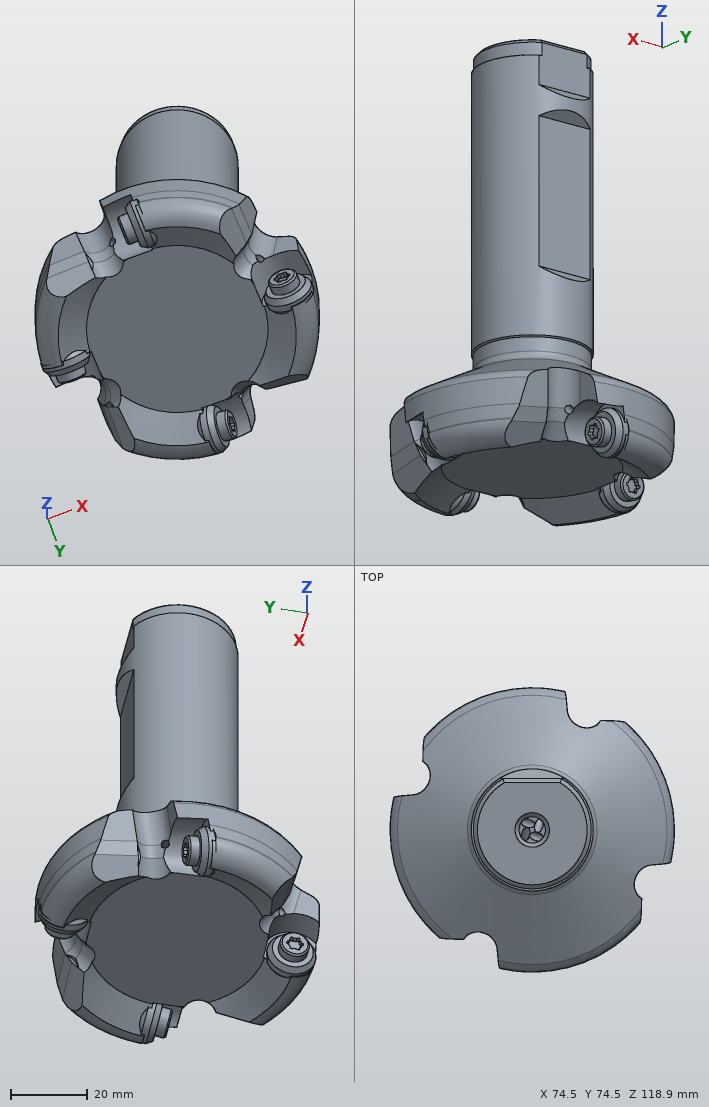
import cadquery as cq
import math


TOTAL_HEIGHT = 118.9
INSERT_COUNT = 4

SHANK_DIAMETER = 32.0
END_RADIUS = 15.5
END_LENGTH = 4.8
END_CHAMFER = 1.1
SHANK_BOTTOM_Z = 36.4
NECK_RADIUS = 15.6
NECK_BOTTOM_Z = 32.0

HEAD_DIAMETER = 74.5
CONE_TOP_RADIUS = 17.0
CONE_TOP_Z = 29.4
CONE_BOTTOM_RADIUS = 35.3
CONE_BOTTOM_Z = 19.8
RIM_TOP_Z = 17.2
TAPER_TOP_Z = 9.9
TAPER_BOTTOM_Z = 6.1
TAPER_DROP = 0.2
BOTTOM_CORNER_RADIUS = 5.8
CAVITY_RADIUS = 23.8
CAVITY_DEPTH = 4.9

FLAT_Y = 13.4
END_FLAT_Z = 105.9
CLAMP_FLAT_TOP_Z = 97.2
CLAMP_FLAT_BOTTOM_Z = 55.5

SUPPLY_RADIUS = 3.5
SUPPLY_BOTTOM_Z = 30.9
SUPPLY_SINK_RADIUS = 4.5
SUPPLY_SINK_DEPTH = 1.4
DUCT_RADIUS = 1.1
DUCT_START = (-1.4, 0.0, 31.7)
DUCT_OUTLET = (-9.5, -29.1, 9.9)

FLUTE_Z = 20.2
FLUTE_FLOOR_Y = -28.3
FLUTE_WALL_X = -9.0
FLUTE_ARC_RADIUS = 4.8
FLUTE_ARC_Y = -30.9
FLUTE_LEAN = 10.0
FLUTE_PITCHES = (12.0, 24.0, 38.0)
FLUTE_BENDS_Z = (12.5, 8.8)
FLUTE_REACH = 35.7

INSERT_CENTER = (1.3, -30.7, 6.7)
INSERT_TILT = 9.0
INSERT_THICKNESS = 5.2
INSERT_FACE_RADIUS = 5.5
INSERT_BAND_RADIUS = 6.5
INSERT_BAND_WIDTH = 1.9

SCREW_HEAD_RADIUS = 3.9
SCREW_HEAD_HEIGHT = 3.0
SCREW_HEAD_CHAMFER = 0.5
SOCKET_RADIUS = 1.8
SOCKET_LOBE_RADIUS = 0.42
SOCKET_LOBES = 6
SOCKET_DEPTH = 1.4
ACCESS_Y = -31.3
ACCESS_RADIUS = 8.1
ACCESS_LENGTH = 16.6

SHANK_RADIUS = SHANK_DIAMETER / 2
HEAD_RADIUS = HEAD_DIAMETER / 2
END_BOTTOM_Z = TOTAL_HEIGHT - END_LENGTH
QUARTER_ARC = math.sqrt(0.5)


def around_axis(shape):
    """Copies of a shape at every insert station around the tool axis."""
    step = 360.0 / INSERT_COUNT
    return [shape.rotate((0, 0, 0), (0, 0, 1), step * i) for i in range(INSERT_COUNT)]


def blank():
    """Turned shape of the shank and head, with the hollow underside."""
    neck_step = SHANK_RADIUS - NECK_RADIUS
    corner_outer = HEAD_RADIUS - TAPER_DROP
    corner_center = (corner_outer - BOTTOM_CORNER_RADIUS, BOTTOM_CORNER_RADIUS)
    corner_sag = (
        corner_center[0] + QUARTER_ARC * BOTTOM_CORNER_RADIUS,
        corner_center[1] - QUARTER_ARC * BOTTOM_CORNER_RADIUS,
    )
    return (
        cq.Workplane("XZ")
        .moveTo(0, TOTAL_HEIGHT)
        .lineTo(END_RADIUS, TOTAL_HEIGHT)
        .lineTo(END_RADIUS, END_BOTTOM_Z)
        .lineTo(SHANK_RADIUS, END_BOTTOM_Z)
        .lineTo(SHANK_RADIUS, SHANK_BOTTOM_Z)
        .lineTo(NECK_RADIUS, SHANK_BOTTOM_Z - neck_step)
        .lineTo(NECK_RADIUS, NECK_BOTTOM_Z)
        .tangentArcPoint((CONE_TOP_RADIUS, CONE_TOP_Z), relative=False)
        .lineTo(CONE_BOTTOM_RADIUS, CONE_BOTTOM_Z)
        .tangentArcPoint((HEAD_RADIUS, RIM_TOP_Z), relative=False)
        .lineTo(HEAD_RADIUS, TAPER_TOP_Z)
        .lineTo(corner_outer, TAPER_BOTTOM_Z)
        .lineTo(corner_outer, BOTTOM_CORNER_RADIUS)
        .threePointArc(corner_sag, (corner_center[0], 0))
        .lineTo(CAVITY_RADIUS, CAVITY_DEPTH)
        .lineTo(0, CAVITY_DEPTH)
        .close()
        .revolve(360, (0, 0), (0, 1))
    )


def shank_flats():
    """Material cut from the +Y side: an end flat and a clamping flat."""
    depth = 2 * (SHANK_RADIUS - FLAT_Y)
    outer_y = FLAT_Y + depth
    side = (
        cq.Workplane("YZ", origin=(-SHANK_RADIUS, 0, 0))
        .polyline([
            (FLAT_Y, END_FLAT_Z),
            (outer_y, END_FLAT_Z - depth),
            (outer_y, TOTAL_HEIGHT),
            (FLAT_Y, TOTAL_HEIGHT),
        ])
        .close()
        .polyline([
            (FLAT_Y, CLAMP_FLAT_TOP_Z),
            (outer_y, CLAMP_FLAT_TOP_Z + depth),
            (outer_y, CLAMP_FLAT_BOTTOM_Z - depth),
            (FLAT_Y, CLAMP_FLAT_BOTTOM_Z),
        ])
        .close()
    )
    return side.extrude(2 * SHANK_RADIUS)


def supply_bore():
    """Blind coolant bore from the shank end, with a countersunk mouth."""
    return (
        cq.Workplane("XZ")
        .moveTo(0, TOTAL_HEIGHT)
        .lineTo(SUPPLY_SINK_RADIUS, TOTAL_HEIGHT)
        .lineTo(SUPPLY_RADIUS, TOTAL_HEIGHT - SUPPLY_SINK_DEPTH)
        .lineTo(SUPPLY_RADIUS, SUPPLY_BOTTOM_Z)
        .lineTo(0, SUPPLY_BOTTOM_Z)
        .close()
        .revolve(360, (0, 0), (0, 1))
    )


def coolant_duct():
    """Sloping duct from the supply bore to the wall of the -Y flute."""
    start = cq.Vector(*DUCT_START)
    run = cq.Vector(*DUCT_OUTLET) - start
    return cq.Workplane(cq.Plane(origin=start, normal=run)).circle(DUCT_RADIUS).extrude(run.Length)


def flute_leg(origin, pitch, rise):
    """Straight length of the -Y flute, running down from its origin and up by the rise.

    The pitch is the angle at which its floor runs inward going down.
    """
    lean = math.tan(math.radians(FLUTE_LEAN))
    rising = (-lean, -math.tan(math.radians(pitch)), 1)
    plane = cq.Plane(origin=origin, xDir=(1, 0, lean), normal=rising)
    arc_y = FLUTE_ARC_Y - FLUTE_FLOOR_Y
    floor_end_x = -FLUTE_ARC_RADIUS - math.sqrt(FLUTE_ARC_RADIUS**2 - arc_y**2)
    arc_sag = ((QUARTER_ARC - 1) * FLUTE_ARC_RADIUS, arc_y + QUARTER_ARC * FLUTE_ARC_RADIUS)
    return (
        cq.Workplane(plane)
        .workplane(offset=-FLUTE_REACH)
        .moveTo(-FLUTE_REACH, 0)
        .lineTo(floor_end_x, 0)
        .threePointArc(arc_sag, (0, arc_y))
        .lineTo(0, -FLUTE_REACH)
        .lineTo(-FLUTE_REACH, -FLUTE_REACH)
        .close()
        .extrude(FLUTE_REACH + rise)
    )


def flute_legs():
    """Lengths of the -Y flute, each steeper than the one above and starting where it bends."""
    starts_z = (FLUTE_Z, *FLUTE_BENDS_Z)
    x = FLUTE_WALL_X
    y = FLUTE_FLOOR_Y
    legs = []
    for i, pitch in enumerate(FLUTE_PITCHES):
        if i > 0:
            drop = starts_z[i - 1] - starts_z[i]
            x += drop * math.tan(math.radians(FLUTE_LEAN))
            y += drop * math.tan(math.radians(FLUTE_PITCHES[i - 1]))
        rise = FLUTE_REACH if i == 0 else 0
        legs.append(flute_leg((x, y, starts_z[i]), pitch, rise))
    return legs


def insert_plane():
    """Mid plane of the -Y insert, its normal leaning downward out of the rake face."""
    tilt = math.radians(INSERT_TILT)
    normal = (-math.cos(tilt), 0, -math.sin(tilt))
    return cq.Plane(origin=INSERT_CENTER, xDir=(0, -1, 0), normal=normal)


def insert_disc():
    """Round double-sided insert: two conical flanks meeting a wider middle band."""
    half = INSERT_THICKNESS / 2
    half_band = INSERT_BAND_WIDTH / 2
    flank = half - half_band

    def half_disc(sign):
        band = cq.Solid.makeCylinder(INSERT_BAND_RADIUS, half_band, dir=cq.Vector(0, 0, sign))
        cone = cq.Solid.makeCone(
            INSERT_BAND_RADIUS,
            INSERT_FACE_RADIUS,
            flank,
            cq.Vector(0, 0, sign * half_band),
            cq.Vector(0, 0, sign),
        )
        return band.fuse(cone)

    disc = half_disc(1).fuse(half_disc(-1)).clean()
    return cq.Workplane(insert_plane()).newObject([disc.located(insert_plane().location)])


def cutting_insert():
    """Insert with its clamping screw head and six-lobed socket."""
    face = cq.Workplane(insert_plane()).workplane(offset=INSERT_THICKNESS / 2)
    head = face.circle(SCREW_HEAD_RADIUS).extrude(SCREW_HEAD_HEIGHT)
    outward = cq.selectors.DirectionMinMaxSelector(insert_plane().zDir)
    head = head.faces(outward).chamfer(SCREW_HEAD_CHAMFER)
    socket_floor = face.workplane(offset=SCREW_HEAD_HEIGHT - SOCKET_DEPTH)
    socket = socket_floor.circle(SOCKET_RADIUS).extrude(SOCKET_DEPTH)
    lobes = (
        socket_floor.polarArray(SOCKET_RADIUS, 0, 360, SOCKET_LOBES)
        .circle(SOCKET_LOBE_RADIUS)
        .extrude(SOCKET_DEPTH)
    )
    return insert_disc().union(head).cut(socket).cut(lobes).solids()


def insert_recess():
    """Seat that fits the insert, opened forward to the flute for access to the screw."""
    access_shift = INSERT_CENTER[1] - ACCESS_Y
    access = (
        cq.Workplane(insert_plane())
        .center(access_shift, 0)
        .circle(ACCESS_RADIUS)
        .extrude(ACCESS_LENGTH)
    )
    return insert_disc().union(access)


def make_housing():
    body = blank().cut(shank_flats()).faces(">Z").chamfer(END_CHAMFER).cut(supply_bore())
    for feature in (*flute_legs(), coolant_duct(), insert_recess()):
        for cutter in around_axis(feature):
            body = body.cut(cutter)
    return body.solids()


housing = make_housing()
inserts = around_axis(cutting_insert())

result = cq.Compound.makeCompound([housing.val(), *[insert.val() for insert in inserts]])